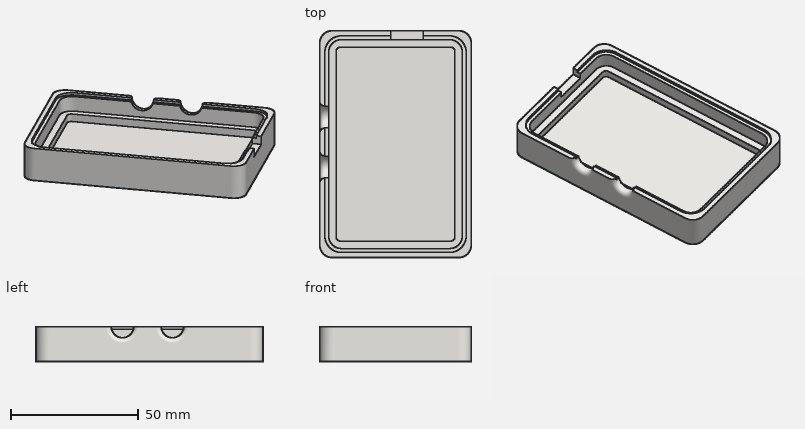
import cadquery as cq

width = 59.7
length = 89.25
height = 13.7
corner_radius = 5.0

rim_inset = 2.05
rim_depth = 1.0
cavity_inset = 3.6
ledge_level = 6.5
rim_corner_radius = corner_radius + cavity_inset - rim_inset
recess_inset = 6.5
recess_corner_radius = 1.6
floor_level = 3.3

gap_width = 12.7
gap_center_x = 4.55
gap_depth = 3.5

notch_radius = 4.4
notch_flare = 2.0
notch_spacing = 19.6
notch_middle_y = 0.8


def rounded_block(inset, bottom, top, radius):
    """Block with rounded vertical corners, set in from the outer walls."""
    return (
        cq.Workplane("XY", origin=(0, 0, bottom))
        .rect(width - 2 * inset, length - 2 * inset)
        .extrude(top - bottom)
        .edges("|Z")
        .fillet(radius)
    )


def wall_gap():
    """Cutter for the open-topped gap through the +Y wall."""
    return cq.Workplane("XY").box(gap_width, cavity_inset, gap_depth).translate(
        (gap_center_x, (length - cavity_inset) / 2, height - gap_depth / 2)
    )


def flared_notch(center_y):
    """Cutter revolved about an X-parallel axis on the top face, rounding out to the outer wall."""
    outer_x = -width / 2
    inner_x = outer_x + cavity_inset
    flare_end_x = outer_x + notch_flare
    arc_offset = notch_flare * 0.5 ** 0.5
    mouth_radius = notch_radius + notch_flare
    profile = (
        cq.Workplane("XY")
        .moveTo(outer_x, 0)
        .lineTo(outer_x, mouth_radius)
        .threePointArc(
            (flare_end_x - arc_offset, mouth_radius - arc_offset),
            (flare_end_x, notch_radius),
        )
        .lineTo(inner_x, notch_radius)
        .lineTo(inner_x, 0)
        .close()
    )
    return profile.revolve(360, (0, 0, 0), (1, 0, 0)).translate((0, center_y, height))


tray = rounded_block(0, 0, height, corner_radius)
tray = tray.cut(rounded_block(rim_inset, height - rim_depth, height, rim_corner_radius))
tray = tray.cut(rounded_block(cavity_inset, ledge_level, height, corner_radius))
tray = tray.cut(rounded_block(recess_inset, floor_level, height, recess_corner_radius))
tray = tray.cut(wall_gap())
for side in (-1, 1):
    tray = tray.cut(flared_notch(notch_middle_y + side * notch_spacing / 2))

result = tray